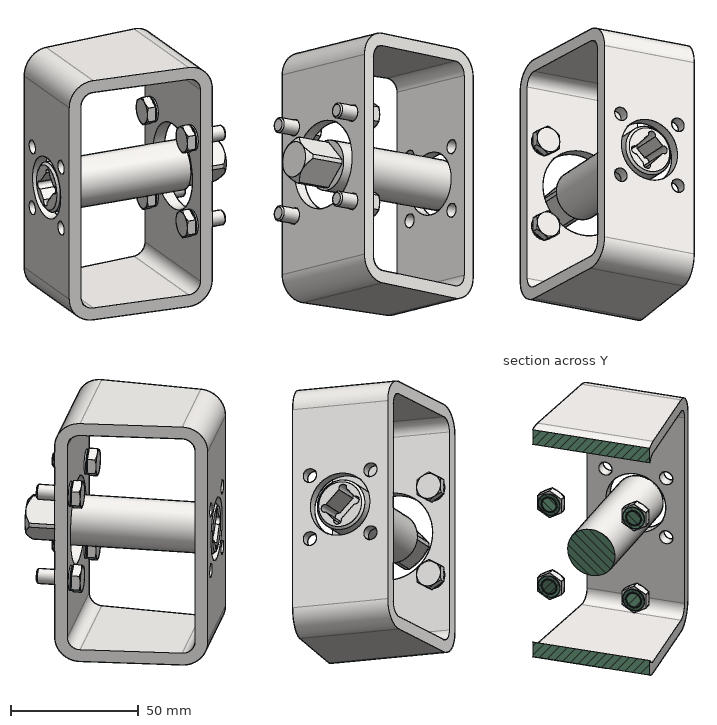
import cadquery as cq
import math


BRACKET_HEIGHT = 100.0
BRACKET_DEPTH = 60.0
BRACKET_BACK_WIDTH = 50.0
BRACKET_FRONT_WIDTH = 40.0
WALL = 5.0
OUTER_CORNER_RADIUS = 10.0
INNER_CORNER_RADIUS = OUTER_CORNER_RADIUS - WALL
BACK_WALL_INNER_Y = BRACKET_DEPTH - WALL

FRONT_BORE_DIAMETER = 25.0
FRONT_HOLE_DIAMETER = 5.5
FRONT_HOLE_CIRCLE = 36.0
BACK_BORE_DIAMETER = 35.0
BOLT_HOLE_DIAMETER = 6.5
BOLT_CIRCLE = 50.0

KEY_PROJECTION = 15.0
SHAFT_LENGTH = BRACKET_DEPTH + KEY_PROJECTION
SHAFT_DIAMETER = 20.0
SHAFT_CHAMFER = 1.0
KEY_LENGTH = 17.0
KEY_SQUARE = 14.0
KEY_CORNER_DIAMETER = 18.2
KEY_END_CHAMFER = (KEY_CORNER_DIAMETER - KEY_SQUARE) / 2
DRIVE_ANGLE = 45.0
SOCKET_LENGTH = 12.2
SOCKET_WIDTH = 9.1
SOCKET_DEPTH = 15.0
RELIEF_DIAMETER = 3.2
RELIEF_INSET = 0.85

WASHER_BORE = 6.4
WASHER_DIAMETER = 10.0
WASHER_RIM_TOP_DIAMETER = 9.6
WASHER_THICKNESS = 0.6
WASHER_HEIGHT = 0.8

BOLT_DIAMETER = 6.0
BOLT_LENGTH = 14.0
BOLT_TIP_CHAMFER = 0.6
HEAD_ACROSS_FLATS = 10.0
HEAD_HEIGHT = 4.0
HEAD_FACE_DIAMETER = 8.9
HEAD_FACE_HEIGHT = 0.4
HEAD_CHAMFER_ANGLE = 30.0


def corner_points(circle_diameter):
    """Four (x, z) points on the diagonals of a circle around the shaft axis."""
    reach = circle_diameter / 2 / math.sqrt(2)
    return [(x, z) for x in (-reach, reach) for z in (-reach, reach)]


def plane_at(y):
    """Sketch plane across the shaft axis: local x is X, local y is Z, extrusion goes to -Y."""
    return cq.Workplane("XZ", origin=(0, y, 0))


def turned(profile):
    """Solid of revolution about the Y axis from (radius, y) points."""
    return cq.Workplane("XY").polyline(profile).close().revolve(360, (0, 0, 0), (0, 1, 0))


def frame_block(margin, corner_radius):
    """Full-width rounded block, set in from the bracket's outside by the margin."""
    return (
        cq.Workplane("XY")
        .box(BRACKET_BACK_WIDTH, BRACKET_DEPTH - 2 * margin, BRACKET_HEIGHT - 2 * margin)
        .edges("|X")
        .fillet(corner_radius)
        .translate((0, BRACKET_DEPTH / 2, 0))
    )


def make_bracket():
    frame = frame_block(0, OUTER_CORNER_RADIUS).cut(frame_block(WALL, INNER_CORNER_RADIUS))
    taper = (
        cq.Workplane("XY")
        .polyline([
            (-BRACKET_FRONT_WIDTH / 2, 0),
            (BRACKET_FRONT_WIDTH / 2, 0),
            (BRACKET_BACK_WIDTH / 2, BRACKET_DEPTH),
            (-BRACKET_BACK_WIDTH / 2, BRACKET_DEPTH),
        ])
        .close()
        .extrude(BRACKET_HEIGHT / 2, both=True)
    )
    front_bore = plane_at(WALL).circle(FRONT_BORE_DIAMETER / 2).extrude(WALL)
    front_holes = (
        plane_at(WALL)
        .pushPoints(corner_points(FRONT_HOLE_CIRCLE))
        .circle(FRONT_HOLE_DIAMETER / 2)
        .extrude(WALL)
    )
    back_bore = plane_at(BRACKET_DEPTH).circle(BACK_BORE_DIAMETER / 2).extrude(WALL)
    bolt_holes = (
        plane_at(BRACKET_DEPTH)
        .pushPoints(corner_points(BOLT_CIRCLE))
        .circle(BOLT_HOLE_DIAMETER / 2)
        .extrude(WALL)
    )
    return frame.intersect(taper).cut(front_bore).cut(front_holes).cut(back_bore).cut(bolt_holes)


def make_key():
    """Square key with turned-down corners and a conical end chamfer."""
    square = (
        plane_at(SHAFT_LENGTH)
        .transformed(rotate=(0, 0, DRIVE_ANGLE))
        .rect(KEY_SQUARE, KEY_SQUARE)
        .extrude(KEY_LENGTH)
    )
    envelope = (
        plane_at(SHAFT_LENGTH)
        .circle(KEY_CORNER_DIAMETER / 2)
        .extrude(KEY_LENGTH)
        .faces(">Y")
        .chamfer(KEY_END_CHAMFER)
    )
    return square.intersect(envelope)


def make_socket():
    """Rectangular socket with a round relief in each corner."""
    floor = plane_at(SOCKET_DEPTH).transformed(rotate=(0, 0, DRIVE_ANGLE))
    pocket = floor.rect(SOCKET_LENGTH, SOCKET_WIDTH).extrude(SOCKET_DEPTH)
    reliefs = (
        floor
        .rect(SOCKET_LENGTH - 2 * RELIEF_INSET, SOCKET_WIDTH - 2 * RELIEF_INSET, forConstruction=True)
        .vertices()
        .circle(RELIEF_DIAMETER / 2)
        .extrude(SOCKET_DEPTH)
    )
    return pocket.union(reliefs)


def make_shaft():
    body_length = SHAFT_LENGTH - KEY_LENGTH
    body = (
        plane_at(body_length)
        .circle(SHAFT_DIAMETER / 2)
        .extrude(body_length)
        .faces("<Y")
        .chamfer(SHAFT_CHAMFER)
    )
    return body.union(make_key()).cut(make_socket())


def make_washer(x, z):
    washer = turned([
        (WASHER_DIAMETER / 2, 0),
        (WASHER_RIM_TOP_DIAMETER / 2, -WASHER_THICKNESS),
        (HEAD_FACE_DIAMETER / 2, -WASHER_HEIGHT),
        (WASHER_BORE / 2, -WASHER_HEIGHT),
        (WASHER_BORE / 2, WASHER_THICKNESS - WASHER_HEIGHT),
    ])
    return washer.translate((x, BACK_WALL_INNER_Y, z))


def make_bolt(x, z):
    """Bolt with its bearing face on the washer and its shank pointing to +Y."""
    hexagon_diameter = HEAD_ACROSS_FLATS / math.cos(math.pi / 6)
    chamfer_drop = (hexagon_diameter - HEAD_ACROSS_FLATS) / 2 * math.tan(math.radians(HEAD_CHAMFER_ANGLE))
    hexagon = (
        plane_at(-HEAD_FACE_HEIGHT)
        .transformed(rotate=(0, 0, 90))
        .polygon(6, hexagon_diameter)
        .extrude(HEAD_HEIGHT - HEAD_FACE_HEIGHT)
    )
    head_envelope = turned([
        (0, 0),
        (hexagon_diameter / 2, 0),
        (hexagon_diameter / 2, chamfer_drop - HEAD_HEIGHT),
        (HEAD_ACROSS_FLATS / 2, -HEAD_HEIGHT),
        (0, -HEAD_HEIGHT),
    ])
    bearing_face = plane_at(0).circle(HEAD_FACE_DIAMETER / 2).extrude(HEAD_FACE_HEIGHT)
    shank = (
        plane_at(BOLT_LENGTH)
        .circle(BOLT_DIAMETER / 2)
        .extrude(BOLT_LENGTH)
        .faces(">Y")
        .chamfer(BOLT_TIP_CHAMFER)
    )
    bolt = hexagon.intersect(head_envelope).union(bearing_face).union(shank)
    return bolt.translate((x, BACK_WALL_INNER_Y - WASHER_HEIGHT, z))


bracket = make_bracket()
shaft = make_shaft()
washers = [make_washer(x, z) for x, z in corner_points(BOLT_CIRCLE)]
bolts = [make_bolt(x, z) for x, z in corner_points(BOLT_CIRCLE)]

result = cq.Compound.makeCompound([
    bracket.val(),
    shaft.val(),
    *[washer.val() for washer in washers],
    *[bolt.val() for bolt in bolts],
])